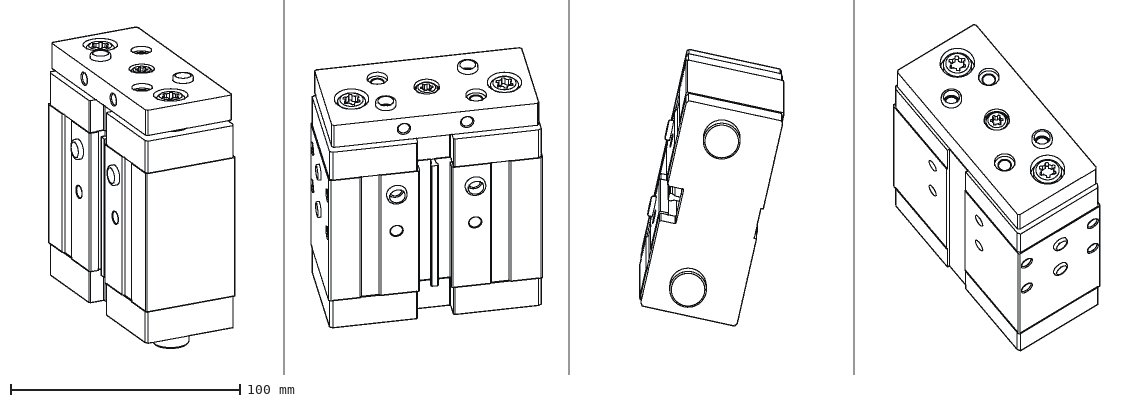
import cadquery as cq
import math

ROD_BOTTOM = 0.0
HOUSING_BOTTOM = 7.2
MIDDLE_BOTTOM = 22.0
MIDDLE_TOP = 86.8
HOUSING_TOP = 101.8
YOKE_BOTTOM = 104.0
YOKE_TOP = 115.8
SLEEVE_TOP = 117.8

MIDDLE_WIDTH, MIDDLE_DEPTH = 95.0, 43.8
MIDDLE_CORNER_X, MIDDLE_CORNER_Y = 0.8, 0.5
END_WIDTH, END_DEPTH = 94.0, 43.1
END_CORNER_X, END_CORNER_Y = 1.4, 0.8
FRONT_Y = -MIDDLE_DEPTH / 2
LEFT_X = -MIDDLE_WIDTH / 2

CHANNEL_CHAMFER = 0.6
END_CHANNEL_HALF, END_CHANNEL_FLOOR_Y, END_CHANNEL_CORNER = 7.9, -14.3, 0.4
MIDDLE_CHANNEL_HALF, MIDDLE_CHANNEL_FLOOR_Y = 7.1, -13.8
UNDERCUT_HALF, UNDERCUT_FRONT_Y = 8.5, -17.7
BACK_GROOVE_HALF, BACK_GROOVE_DEPTH = 6.8, 1.4

RAIL_NECK_HALF, RAIL_HEAD_HALF, RAIL_BEVEL = 1.0, 1.6, 0.4
RAIL_NECK_HEIGHT, RAIL_FLARE_HEIGHT, RAIL_HEIGHT = 2.8, 4.1, 5.4

SENSOR_GROOVE_X = (-29.0, 28.7)
SENSOR_GROOVE_WIDTH, SENSOR_GROOVE_DEPTH, SENSOR_GROOVE_SLOPE = 9.2, 1.1, 0.7

HOLE_ROWS_Z = (76.0, 56.0)
FRONT_HOLE_X = 17.4
THREAD_BORE, THREAD_MOUTH = 5.3, 5.9
SIDE_THREAD_Y = 17.7
SIDE_THREAD_BORE, SIDE_THREAD_MOUTH, SIDE_THREAD_DEPTH = 5.0, 5.9, 10.0
DRILL_TIP_ANGLE = 118

YOKE_WIDTH, YOKE_DEPTH, YOKE_CORNER = 91.9, 42.2, 0.8
YOKE_HOLE_X, YOKE_HOLE_Y = 20.0, 10.0
YOKE_FRONT_HOLE_X, YOKE_FRONT_HOLE_DEPTH = 14.0, 10.0

ROD_DIAMETER, ROD_CHAMFER = 16.0, 0.7
ROD_X, ROD_Y = 33.9, -3.1
HEAD_DIAMETER, HEAD_CHAMFER, HEAD_HEIGHT, HEAD_RECESS = 12.3, 1.1, 4.7, 0.4
HEAD_BORE, SHANK_DIAMETER = 15.0, 8.2
ROD_SOCKET_RADIUS = 3.9

PISTON_ROD_DIAMETER, PISTON_ROD_INSERTION = 10.0, 23.6
PISTON_BORE, PISTON_HEAD, PISTON_HEAD_CHAMFER, PISTON_RECESS = 11.0, 9.4, 0.8, 0.4
PISTON_SOCKET_RADIUS = 2.7
SOCKET_DEPTH = 3.0
SOCKET_LOBES, SOCKET_CORE_RATIO, SOCKET_LOBE_RATIO = 6, 0.73, 0.2

LARGE_SLEEVE, LARGE_SLEEVE_BORE, LARGE_SEAT_DEPTH = 9.0, 6.8, 2.1
SMALL_SLEEVE, SMALL_SLEEVE_BORE, SMALL_SEAT_DEPTH = 7.0, 5.3, 1.6
LARGE_PROTRUSION = SLEEVE_TOP - YOKE_TOP
SMALL_PROTRUSION = 1.3
LARGE_SLEEVE_FILLET, SMALL_SLEEVE_FILLET = 0.8, 0.6

DOWN = cq.Vector(0, 0, -1)
INTO_FRONT = cq.Vector(0, 1, 0)
INTO_LEFT = cq.Vector(1, 0, 0)


def cylinder(diameter, length, start, direction):
    return cq.Workplane(cq.Solid.makeCylinder(diameter / 2, length, cq.Vector(*start), direction))


def cone(start_diameter, end_diameter, length, start, direction):
    return cq.Workplane(
        cq.Solid.makeCone(start_diameter / 2, end_diameter / 2, length, cq.Vector(*start), direction)
    )


def countersunk_hole(bore, mouth, depth, start, direction):
    """Cutter for a straight hole with a 45 degree mouth."""
    hole = cylinder(bore, depth, start, direction)
    return hole.union(cone(mouth, bore, (mouth - bore) / 2, start, direction))


def blind_thread_hole(bore, mouth, depth, start, direction):
    """Cutter for a threaded hole that ends in a drill point."""
    tip_length = bore / 2 / math.tan(math.radians(DRILL_TIP_ANGLE / 2))
    tip_start = cq.Vector(*start) + direction * depth
    tip = cone(bore, 0, tip_length, tip_start.toTuple(), direction)
    return countersunk_hole(bore, mouth, depth, start, direction).union(tip)


def star_socket(radius, start, first_lobe_angle):
    """Cutter for a six-lobed socket that opens upward at the start point."""
    core_radius = SOCKET_CORE_RATIO * radius
    lobe_radius = SOCKET_LOBE_RATIO * radius
    socket = cylinder(2 * core_radius, SOCKET_DEPTH, start, DOWN)
    for lobe in range(SOCKET_LOBES):
        angle = math.radians(first_lobe_angle + 360 / SOCKET_LOBES * lobe)
        reach = radius - lobe_radius
        lobe_start = (start[0] + reach * math.cos(angle), start[1] + reach * math.sin(angle), start[2])
        socket = socket.union(cylinder(2 * lobe_radius, SOCKET_DEPTH, lobe_start, DOWN))
    return socket


def mirrored_prism(right_half, bottom, top):
    """Vertical prism whose outline is the given points and their mirror image in X."""
    left_half = [(-x, y) for x, y in reversed(right_half)]
    outline = cq.Workplane("XY", origin=(0, 0, bottom)).polyline(right_half + left_half).close()
    return outline.extrude(top - bottom)


def bevelled_block(width, depth, corner_x, corner_y, bottom, top):
    """Block centred on the Z axis whose vertical edges are bevelled by the corner lengths."""
    x, y = width / 2, depth / 2
    return mirrored_prism(
        [(x - corner_x, -y), (x, -y + corner_y), (x, y - corner_y), (x - corner_x, y)], bottom, top
    )


def end_channel(bottom, top):
    """Cutter for the front channel of an end section, with bevelled floor corners."""
    front = -END_DEPTH / 2
    return mirrored_prism(
        [
            (END_CHANNEL_HALF - END_CHANNEL_CORNER, END_CHANNEL_FLOOR_Y),
            (END_CHANNEL_HALF, END_CHANNEL_FLOOR_Y - END_CHANNEL_CORNER),
            (END_CHANNEL_HALF, front + CHANNEL_CHAMFER),
            (END_CHANNEL_HALF + CHANNEL_CHAMFER, front),
        ],
        bottom,
        top,
    )


def middle_channel():
    """Cutter for the front channel of the middle section, undercut next to its floor."""
    return mirrored_prism(
        [
            (UNDERCUT_HALF, MIDDLE_CHANNEL_FLOOR_Y),
            (UNDERCUT_HALF, UNDERCUT_FRONT_Y),
            (MIDDLE_CHANNEL_HALF, UNDERCUT_FRONT_Y),
            (MIDDLE_CHANNEL_HALF, FRONT_Y + CHANNEL_CHAMFER),
            (MIDDLE_CHANNEL_HALF + CHANNEL_CHAMFER, FRONT_Y),
        ],
        MIDDLE_BOTTOM,
        MIDDLE_TOP,
    )


def back_groove():
    """Cutter for the shallow groove along the whole back of the housing."""
    back = MIDDLE_DEPTH / 2
    return mirrored_prism(
        [(BACK_GROOVE_HALF, back - BACK_GROOVE_DEPTH), (BACK_GROOVE_HALF, back)],
        HOUSING_BOTTOM,
        HOUSING_TOP,
    )


def channel_rail():
    """Rail with a flared, bevelled head that stands on the floor of the central channel."""
    return mirrored_prism(
        [
            (RAIL_NECK_HALF, MIDDLE_CHANNEL_FLOOR_Y),
            (RAIL_NECK_HALF, MIDDLE_CHANNEL_FLOOR_Y - RAIL_NECK_HEIGHT),
            (RAIL_HEAD_HALF, MIDDLE_CHANNEL_FLOOR_Y - RAIL_FLARE_HEIGHT),
            (RAIL_HEAD_HALF, MIDDLE_CHANNEL_FLOOR_Y - RAIL_HEIGHT + RAIL_BEVEL),
            (RAIL_HEAD_HALF - RAIL_BEVEL, MIDDLE_CHANNEL_FLOOR_Y - RAIL_HEIGHT),
        ],
        MIDDLE_BOTTOM,
        MIDDLE_TOP,
    )


def sensor_groove():
    """Cutter for a shallow front groove with sloping walls, centred on X = 0."""
    half_mouth = SENSOR_GROOVE_WIDTH / 2
    half_floor = half_mouth - SENSOR_GROOVE_SLOPE
    return mirrored_prism(
        [(half_floor, FRONT_Y + SENSOR_GROOVE_DEPTH), (half_mouth, FRONT_Y)],
        MIDDLE_BOTTOM,
        MIDDLE_TOP,
    )


def end_section(bottom, top):
    end = bevelled_block(END_WIDTH, END_DEPTH, END_CORNER_X, END_CORNER_Y, bottom, top)
    return end.cut(end_channel(bottom, top))


def middle_section():
    middle = bevelled_block(
        MIDDLE_WIDTH, MIDDLE_DEPTH, MIDDLE_CORNER_X, MIDDLE_CORNER_Y, MIDDLE_BOTTOM, MIDDLE_TOP
    )
    middle = middle.cut(middle_channel())
    for x in SENSOR_GROOVE_X:
        middle = middle.cut(sensor_groove().translate((x, 0, 0)))
    return middle.union(channel_rail())


def build_housing():
    housing = middle_section()
    housing = housing.union(end_section(HOUSING_BOTTOM, MIDDLE_BOTTOM))
    housing = housing.union(end_section(MIDDLE_TOP, HOUSING_TOP))
    housing = housing.cut(back_groove())

    for side in (-1, 1):
        rod_start = (side * ROD_X, ROD_Y, HOUSING_TOP)
        housing = housing.cut(cylinder(ROD_DIAMETER, HOUSING_TOP - HOUSING_BOTTOM, rod_start, DOWN))
        seat_start = (side * FRONT_HOLE_X, FRONT_Y, HOLE_ROWS_Z[0])
        housing = housing.cut(cylinder(LARGE_SLEEVE, LARGE_SEAT_DEPTH, seat_start, INTO_FRONT))
        for z in HOLE_ROWS_Z:
            start = (side * FRONT_HOLE_X, FRONT_Y, z)
            hole = countersunk_hole(THREAD_BORE, THREAD_MOUTH, MIDDLE_DEPTH, start, INTO_FRONT)
            housing = housing.cut(hole)

    housing = housing.cut(
        cylinder(PISTON_ROD_DIAMETER, PISTON_ROD_INSERTION, (0, 0, HOUSING_TOP), DOWN)
    )
    for z in HOLE_ROWS_Z:
        housing = housing.cut(cylinder(SMALL_SLEEVE, SMALL_SEAT_DEPTH, (LEFT_X, 0, z), INTO_LEFT))
        for y in (-SIDE_THREAD_Y, SIDE_THREAD_Y):
            hole = blind_thread_hole(
                SIDE_THREAD_BORE, SIDE_THREAD_MOUTH, SIDE_THREAD_DEPTH, (LEFT_X, y, z), INTO_LEFT
            )
            housing = housing.cut(hole)
    return housing


def build_yoke():
    thickness = YOKE_TOP - YOKE_BOTTOM
    yoke = bevelled_block(YOKE_WIDTH, YOKE_DEPTH, YOKE_CORNER, YOKE_CORNER, YOKE_BOTTOM, YOKE_TOP)

    for side in (-1, 1):
        rod_top = (side * ROD_X, ROD_Y, YOKE_TOP)
        yoke = yoke.cut(cylinder(HEAD_BORE, HEAD_RECESS + HEAD_HEIGHT, rod_top, DOWN))
        yoke = yoke.cut(cylinder(SHANK_DIAMETER, thickness, rod_top, DOWN))
        for y in (-YOKE_HOLE_Y, YOKE_HOLE_Y):
            start = (side * YOKE_HOLE_X, y, YOKE_TOP)
            seat_floor = (side * YOKE_HOLE_X, y, YOKE_TOP - LARGE_SEAT_DEPTH)
            yoke = yoke.cut(cylinder(LARGE_SLEEVE, LARGE_SEAT_DEPTH, start, DOWN))
            yoke = yoke.cut(
                countersunk_hole(THREAD_BORE, THREAD_MOUTH, thickness - LARGE_SEAT_DEPTH, seat_floor, DOWN)
            )
        front_start = (side * YOKE_FRONT_HOLE_X, -YOKE_DEPTH / 2, (YOKE_BOTTOM + YOKE_TOP) / 2)
        yoke = yoke.cut(
            blind_thread_hole(
                SIDE_THREAD_BORE, SIDE_THREAD_MOUTH, YOKE_FRONT_HOLE_DEPTH, front_start, INTO_FRONT
            )
        )
    return add_piston_rod(yoke)


def add_piston_rod(yoke):
    """Piston rod below the yoke, with its socket head standing in a bore of the yoke."""
    head_top = YOKE_TOP - PISTON_RECESS
    bore_depth = PISTON_RECESS + 2 * PISTON_HEAD_CHAMFER
    head_bottom = YOKE_TOP - bore_depth
    head = cq.Workplane("XY", origin=(0, 0, head_bottom)).circle(PISTON_HEAD / 2)
    head = head.extrude(head_top - head_bottom).faces(">Z").chamfer(PISTON_HEAD_CHAMFER)
    rod_length = YOKE_BOTTOM - HOUSING_TOP + PISTON_ROD_INSERTION

    yoke = yoke.cut(cylinder(PISTON_BORE, bore_depth, (0, 0, YOKE_TOP), DOWN))
    yoke = yoke.union(head)
    yoke = yoke.union(cylinder(PISTON_ROD_DIAMETER, rod_length, (0, 0, YOKE_BOTTOM), DOWN))
    return yoke.cut(star_socket(PISTON_SOCKET_RADIUS, (0, 0, head_top), 0))


def build_guide_rod(x):
    """Guide rod with a shank through the yoke and a socket head in the yoke's counterbore."""
    head_top = YOKE_TOP - HEAD_RECESS
    head_bottom = head_top - HEAD_HEIGHT
    rod = cq.Workplane("XY", origin=(x, ROD_Y, ROD_BOTTOM)).circle(ROD_DIAMETER / 2)
    rod = rod.extrude(YOKE_BOTTOM - ROD_BOTTOM).faces("<Z").chamfer(ROD_CHAMFER)
    head = cq.Workplane("XY", origin=(x, ROD_Y, head_bottom)).circle(HEAD_DIAMETER / 2)
    head = head.extrude(HEAD_HEIGHT).faces(">Z").chamfer(HEAD_CHAMFER)
    shank = cylinder(SHANK_DIAMETER, head_bottom - YOKE_BOTTOM, (x, ROD_Y, head_bottom), DOWN)
    return rod.union(shank).union(head).cut(star_socket(ROD_SOCKET_RADIUS, (x, ROD_Y, head_top), 90))


def build_sleeve(diameter, bore, fillet, seat_depth, protrusion, seat_mouth, inward):
    """Sleeve that fills its seat and stands proud of the surface around it."""
    outward = inward * -1
    inner_end = cq.Vector(*seat_mouth) + inward * seat_depth
    height = seat_depth + protrusion
    blank = cylinder(diameter, height, inner_end.toTuple(), outward)
    blank = blank.faces(cq.selectors.DirectionMinMaxSelector(outward)).edges().fillet(fillet)
    return blank.cut(cylinder(bore, height, inner_end.toTuple(), outward))


def build_yoke_sleeve(side):
    return build_sleeve(
        LARGE_SLEEVE,
        LARGE_SLEEVE_BORE,
        LARGE_SLEEVE_FILLET,
        LARGE_SEAT_DEPTH,
        LARGE_PROTRUSION,
        (side * YOKE_HOLE_X, side * YOKE_HOLE_Y, YOKE_TOP),
        DOWN,
    )


def build_front_sleeve(side):
    return build_sleeve(
        LARGE_SLEEVE,
        LARGE_SLEEVE_BORE,
        LARGE_SLEEVE_FILLET,
        LARGE_SEAT_DEPTH,
        LARGE_PROTRUSION,
        (side * FRONT_HOLE_X, FRONT_Y, HOLE_ROWS_Z[0]),
        INTO_FRONT,
    )


def build_left_sleeve(z):
    return build_sleeve(
        SMALL_SLEEVE,
        SMALL_SLEEVE_BORE,
        SMALL_SLEEVE_FILLET,
        SMALL_SEAT_DEPTH,
        SMALL_PROTRUSION,
        (LEFT_X, 0, z),
        INTO_LEFT,
    )


housing = build_housing()
yoke = build_yoke()
guide_rods = [build_guide_rod(side * ROD_X) for side in (-1, 1)]
yoke_sleeves = [build_yoke_sleeve(side) for side in (-1, 1)]
front_sleeves = [build_front_sleeve(side) for side in (-1, 1)]
left_sleeves = [build_left_sleeve(z) for z in HOLE_ROWS_Z]

bodies = [housing, yoke, *guide_rods, *yoke_sleeves, *front_sleeves, *left_sleeves]
result = cq.Compound.makeCompound([body.solids().val() for body in bodies])